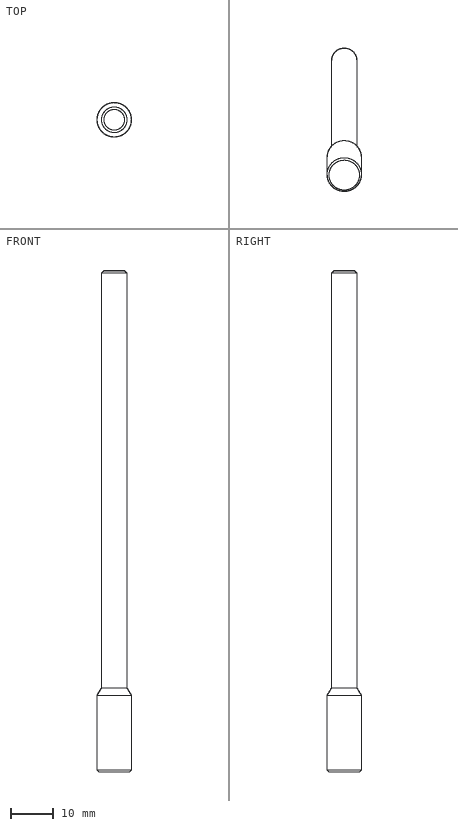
import cadquery as cq

total_length = 117.0
rod_diameter = 6.0
rod_end_chamfer = 0.6
head_diameter = 8.1
head_length = 19.7
head_end_chamfer = 0.5
shoulder_height = 1.8


def make_head():
    """Thick lower cylinder whose conical shoulder narrows to the rod diameter."""
    head_radius = head_diameter / 2
    profile = [
        (0, 0),
        (head_radius - head_end_chamfer, 0),
        (head_radius, head_end_chamfer),
        (head_radius, head_length - shoulder_height),
        (rod_diameter / 2, head_length),
        (0, head_length),
    ]
    return cq.Workplane("XZ").polyline(profile).close().revolve(360, (0, 0), (0, 1))


def make_rod():
    """Slender rod standing on the head, chamfered around its free end."""
    rod_length = total_length - head_length
    base = cq.Workplane("XY").workplane(offset=head_length)
    blank = base.circle(rod_diameter / 2).extrude(rod_length)
    return blank.edges(">Z").chamfer(rod_end_chamfer)


head = make_head()
rod = make_rod()

result = cq.Compound.makeCompound([head.val(), rod.val()])